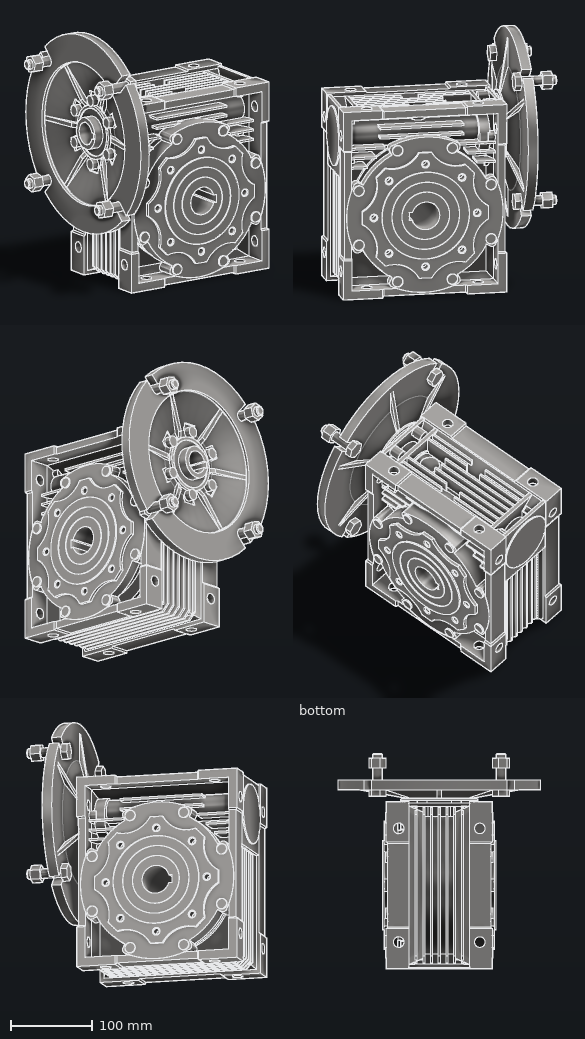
import cadquery as cq
import math


CENTER_DISTANCE = 90.0
WORM_Z = CENTER_DISTANCE
HALF_LENGTH = 103.0
BOTTOM_Z = -HALF_LENGTH
TOP_Z = 135.0
FRAME_INNER_X = 37.5
FOOT_OUTER_X = 65.5
RAIL_RECESS = 2.0
RAIL_OUTER_X = FOOT_OUTER_X - RAIL_RECESS
FOOT_LENGTH = 51.5
FRAME_WALL = 11.0
MOUNT_HOLE_D = 13.0
MOUNT_HOLE_X = 50.0
MOUNT_HOLE_EDGE = 33.0

WEB_INNER_X = 18.5
WEB_FLOOR_X = 20.5
WEB_EDGE = 5.0
HULL_TAPER = 8.5
HULL_TOP_TAPER = 15.0
POCKET_TAPER = 6.0
POCKET_TOP_TAPER = 11.0

DRUM_D = 170.0
DRUM_HALF_WIDTH = 26.0
WHEEL_HOUSING_D = 136.0
WORM_TUBE_D = 45.0
FRONT_BEARING_D = 50.0
FRONT_BEARING_Y = -73.0
END_WALL_OUTER_Y = 101.4
END_WALL_INNER_Y = 97.2
END_WALL_BOTTOM_Z = 45.0
CROSS_PLATE_Y = 77.5
CROSS_PLATE_THICKNESS = 5.0
FRONT_SCREW_D = 13.4
FRONT_SCREW_COUNT = 6
FRONT_SCREW_R = 41.0
FRONT_SCREW_END_Y = -83.5
REAR_SCREW_D = 11.0
REAR_SCREW_COUNT = 4
REAR_SCREW_R = 35.0
REAR_SCREW_END_Y = 81.5
REAR_CAP_D = 74.0
SIDE_RIDGE_D = 32.5
SIDE_RIDGE_Z = 96.25

FIN_THICKNESS = 2.5
FIN_PITCH = 9.5
FINS_PER_SIDE = 3
TOP_FIN_Z = TOP_Z - WEB_EDGE
TOP_FIN_GAP = 11.0
INNER_FIN_END_Y = -37.8
MIDDLE_FIN_END_Y = -35.8
BELLY_FIN_Z = -99.4
BELLY_FIN_HALF_LENGTH = 96.0
BELLY_FIN_CHAMFER = 9.0
SIDE_FIN_X = 47.5
LONG_FIN_HALF_LENGTH = 52.5
LONG_FIN_ZS = (107.7, 95.7)
SHORT_FIN_ROWS = 3
SHORT_FIN_PITCH = 12.0
SHORT_FIN_TOP_Z = 83.3
SHORT_FIN_END_Y = 46.5
SHORT_FIN_STEP_Y = 11.3

PLUG_D = 24.0
FLAT_PLUG_Y = -55.3
ROUND_PLUG_X = -15.0
ROUND_PLUG_Z = 104.0

COVER_D = 176.0
COVER_LOBE_COUNT = 4
COVER_LOBE_D = 197.0
COVER_LOBE_HALF_ANGLE = 28.0
COVER_LOBE_FILLET = 5.0
COVER_OUTER_X = 64.0
LEFT_COVER_INNER_X = 51.0
RIGHT_COVER_INNER_X = 41.0
COVER_SCREW_D = 13.0
COVER_SCREW_R = 90.0
COVER_SCREW_X = 66.0
COVER_POINTS = 8
STAR_X = 68.0
STAR_FLAT_R = 79.4
STAR_FLAT_HALF_WIDTH = 8.0
STAR_VALLEY_R = 68.5
TAP_R = 65.0
TAP_D = 7.45
TAP_MOUTH_D = 9.7
TAP_DEPTH = 15.0
OUTPUT_X = 70.0
RING_D = 110.0
SEAL_OUTER_D = 85.0
SEAL_INNER_D = 60.0
SEAL_DEPTH = 1.0
OUTPUT_BORE_D = 35.0
OUTPUT_KEY_WIDTH = 10.0
OUTPUT_KEY_REACH = 20.8

FLANGE_D = 250.0
FLANGE_BACK_Y = -117.5
FLANGE_FRONT_Y = -130.0
PILOT_D = 180.0
PILOT_DEPTH = 4.0
CONE_MOUTH_D = 177.87
CONE_FLOOR_D = 85.0
CONE_FLOOR_Y = -112.0
CONE_BACK_D = 156.0
CONE_BACK_Y = -107.3
HUB_DISC_D = 95.0
HUB_DISC_BACK_Y = -104.5
HUB_DISC_FRONT_Y = -106.5
COLLAR_D = 68.0
COLLAR_Y = -116.0
COLLAR_RECESS_D = 60.0
COLLAR_RECESS_Y = -114.5
INPUT_HUB_D = 40.0
INPUT_HUB_Y = -126.5
INPUT_BORE_D = 28.0
INPUT_BORE_DEPTH = 60.0
INPUT_KEY_WIDTH = 8.0
INPUT_KEY_REACH = 17.2
RIB_COUNT = 6
RIB_WIDTH = 5.5
RIB_ROOT_Y = -118.0
RIB_END_HEIGHT = 1.0
BACK_RIB_R = 113.0
BACK_RIB_WIDTH = 5.0
FLANGE_SCREW_R = 40.5
FLANGE_SCREW_HEIGHT = 8.0
SCREW_POCKET_WIDTH = 17.4
SCREW_POCKET_R = 51.2

BOLT_COUNT = 4
BOLT_CIRCLE_R = 107.5
BOLT_START_ANGLE = 45.0
SLOT_WIDTH = 13.0
BOLT_D = 12.0
BOLT_END_Y = -162.5
BOLT_CHAMFER = 1.2
HEX_CORNER_D = 22.0
HEAD_HEIGHT = 8.0
NUT_BACK_Y = -144.3
NUT_HEIGHT = 12.5


def box(x0, x1, y0, y1, z0, z1):
    return cq.Workplane("XY").box(x1 - x0, y1 - y0, z1 - z0, centered=False).translate((x0, y0, z0))


def x_cylinder(diameter, x0, x1, y=0.0, z=0.0):
    return cq.Workplane("YZ", origin=(x0, y, z)).circle(diameter / 2).extrude(x1 - x0)


def y_cylinder(diameter, y_front, y_back, x=0.0, z=WORM_Z):
    """Cylinder along Y; the XZ workplane extrudes towards -Y."""
    return cq.Workplane("XZ", origin=(x, y_back, z)).circle(diameter / 2).extrude(y_back - y_front)


def on_circle(radius, angle):
    return radius * math.cos(math.radians(angle)), radius * math.sin(math.radians(angle))


def both_sides(shape):
    return shape.union(shape.mirror("YZ"))


def about_worm(shape, angle):
    return shape.rotate((0, 0, WORM_Z), (0, -1, WORM_Z), angle)


def frustum(x0, half_length0, bottom0, top0, x1, half_length1, bottom1, top1):
    """Rectangular tapered block between two planes of constant X."""
    shape = cq.Workplane("YZ", origin=(x0, 0, (bottom0 + top0) / 2)).rect(2 * half_length0, top0 - bottom0)
    shape = shape.workplane(offset=x1 - x0).center(0, (bottom1 + top1 - bottom0 - top0) / 2)
    return shape.rect(2 * half_length1, top1 - bottom1).loft(ruled=True)


def foot(rear, upper):
    """Corner block whose two inner ends slope down to the recessed rails."""
    y0 = HALF_LENGTH - FOOT_LENGTH
    z0 = TOP_Z - FOOT_LENGTH
    block = box(FRAME_INNER_X, FOOT_OUTER_X, y0, HALF_LENGTH, z0, TOP_Z)
    block = block.faces("<Y").edges(">Z or >X").chamfer(RAIL_RECESS)
    block = block.faces("<Z").edges(">Y or >X").chamfer(RAIL_RECESS)
    if not upper:
        block = block.mirror("XY").translate((0, 0, TOP_Z + BOTTOM_Z))
    if not rear:
        block = block.mirror("XZ")
    return block


def side_frame():
    rail_y = HALF_LENGTH - RAIL_RECESS
    frame = box(FRAME_INNER_X, RAIL_OUTER_X, -rail_y, rail_y, BOTTOM_Z + RAIL_RECESS, TOP_Z - RAIL_RECESS)
    for rear in (False, True):
        for upper in (False, True):
            frame = frame.union(foot(rear, upper))
    hull_y = HALF_LENGTH - WEB_EDGE
    hull = frustum(
        FRAME_INNER_X, hull_y, -hull_y, TOP_Z - WEB_EDGE,
        WEB_INNER_X, hull_y - HULL_TAPER, HULL_TAPER - hull_y, TOP_Z - WEB_EDGE - HULL_TOP_TAPER,
    )
    return frame.union(hull)


def side_pocket():
    pocket_y = HALF_LENGTH - FRAME_WALL
    pocket_top = TOP_Z - FRAME_WALL
    opening = box(FRAME_INNER_X, FOOT_OUTER_X, -pocket_y, pocket_y, -pocket_y, pocket_top)
    tapered = frustum(
        FRAME_INNER_X, pocket_y, -pocket_y, pocket_top,
        WEB_FLOOR_X, pocket_y - POCKET_TAPER, POCKET_TAPER - pocket_y, pocket_top - POCKET_TOP_TAPER,
    )
    return opening.union(tapered)


def top_fin(x, y0, y1):
    return box(x - FIN_THICKNESS / 2, x + FIN_THICKNESS / 2, y0, y1, WORM_Z, TOP_FIN_Z)


def top_fins():
    fins = top_fin(0, MIDDLE_FIN_END_Y, CROSS_PLATE_Y)
    for side in (-1, 1):
        fins = fins.union(top_fin(side * FIN_PITCH, INNER_FIN_END_Y, CROSS_PLATE_Y))
        for step in range(2, FINS_PER_SIDE + 1):
            x = side * step * FIN_PITCH
            fins = fins.union(top_fin(x, TOP_FIN_GAP, CROSS_PLATE_Y))
            fins = fins.union(top_fin(x, -CROSS_PLATE_Y, -TOP_FIN_GAP))
    return fins


def belly_fins():
    fins = cq.Workplane("XY")
    for step in range(-FINS_PER_SIDE, FINS_PER_SIDE + 1):
        x = step * FIN_PITCH
        fin = box(
            x - FIN_THICKNESS / 2, x + FIN_THICKNESS / 2,
            -BELLY_FIN_HALF_LENGTH, BELLY_FIN_HALF_LENGTH, BELLY_FIN_Z, END_WALL_BOTTOM_Z,
        )
        fins = fins.add(fin.faces("<Z").edges("|X").chamfer(BELLY_FIN_CHAMFER))
    return fins.combine()


def cross_walls():
    walls = cq.Workplane("XY")
    half_plate = CROSS_PLATE_THICKNESS / 2
    for y0, y1, z0, z1 in (
        (END_WALL_INNER_Y, END_WALL_OUTER_Y, END_WALL_BOTTOM_Z, TOP_Z - RAIL_RECESS),
        (CROSS_PLATE_Y - half_plate, CROSS_PLATE_Y + half_plate, WORM_Z, TOP_FIN_Z),
    ):
        wall = box(-FRAME_INNER_X, FRAME_INNER_X, y0, y1, z0, z1)
        walls = walls.add(wall).add(wall.mirror("XZ"))
    return walls.combine()


def side_fin(y0, y1, z):
    return box(WEB_INNER_X, SIDE_FIN_X, y0, y1, z - FIN_THICKNESS / 2, z + FIN_THICKNESS / 2)


def side_fins():
    fins = cq.Workplane("XY")
    for z in LONG_FIN_ZS:
        fins = fins.add(side_fin(-LONG_FIN_HALF_LENGTH, LONG_FIN_HALF_LENGTH, z))
    for row in range(SHORT_FIN_ROWS):
        start = SHORT_FIN_END_Y + row * SHORT_FIN_STEP_Y
        fin = side_fin(start, HALF_LENGTH - FRAME_WALL, SHORT_FIN_TOP_Z - row * SHORT_FIN_PITCH)
        fins = fins.add(fin).add(fin.mirror("XZ"))
    return fins.combine()


def worm_housing(pockets):
    """Worm tube with its bulges into the side pockets, bearing seat, screw bosses, rear cap and plugs."""
    tube = y_cylinder(WORM_TUBE_D, -END_WALL_INNER_Y, END_WALL_INNER_Y)
    tube = tube.union(y_cylinder(FRONT_BEARING_D, -END_WALL_INNER_Y, FRONT_BEARING_Y))
    ridge_y = HALF_LENGTH - FRAME_WALL - POCKET_TAPER
    for x in (-WEB_FLOOR_X, WEB_FLOOR_X):
        tube = tube.union(y_cylinder(SIDE_RIDGE_D, -ridge_y, ridge_y, x, SIDE_RIDGE_Z).intersect(pockets))
        tube = tube.union(y_cylinder(FRONT_BEARING_D, -ridge_y, FRONT_BEARING_Y, x).intersect(pockets))
    tube = tube.union(y_cylinder(REAR_CAP_D, END_WALL_INNER_Y, HALF_LENGTH))
    for index in range(FRONT_SCREW_COUNT):
        x, z = on_circle(FRONT_SCREW_R, index * 360 / FRONT_SCREW_COUNT)
        tube = tube.union(y_cylinder(FRONT_SCREW_D, HUB_DISC_BACK_Y, FRONT_SCREW_END_Y, x, WORM_Z + z))
    for index in range(REAR_SCREW_COUNT):
        x, z = on_circle(REAR_SCREW_R, (index + 0.5) * 360 / REAR_SCREW_COUNT)
        tube = tube.union(y_cylinder(REAR_SCREW_D, REAR_SCREW_END_Y, END_WALL_OUTER_Y, x, WORM_Z + z))
    tube_top = WORM_Z + WORM_TUBE_D / 2
    flat_plug = cq.Workplane("XY", origin=(0, FLAT_PLUG_Y, WORM_Z)).circle(PLUG_D / 2)
    flat_plug = flat_plug.extrude(tube_top - WORM_Z)
    round_plug = x_cylinder(PLUG_D, ROUND_PLUG_X - PLUG_D, ROUND_PLUG_X + PLUG_D, z=ROUND_PLUG_Z)
    upright = cq.Workplane("XY", origin=(ROUND_PLUG_X, 0, WORM_Z)).circle(PLUG_D / 2).extrude(2 * PLUG_D)
    return tube.union(flat_plug).union(round_plug.intersect(upright))


def cover_plate(inner_x):
    """Round cover plate with four wider lobes, each lobe carrying two screws."""
    thickness = COVER_OUTER_X - inner_x
    plate = x_cylinder(COVER_D, inner_x, COVER_OUTER_X)
    radius = COVER_LOBE_D / 2
    for index in range(COVER_LOBE_COUNT):
        middle = index * 360 / COVER_LOBE_COUNT
        lobe = (
            cq.Workplane("YZ", origin=(inner_x, 0, 0))
            .lineTo(*on_circle(radius, middle - COVER_LOBE_HALF_ANGLE))
            .threePointArc(on_circle(radius, middle), on_circle(radius, middle + COVER_LOBE_HALF_ANGLE))
            .close()
            .extrude(thickness)
        )
        for end in (middle - COVER_LOBE_HALF_ANGLE, middle + COVER_LOBE_HALF_ANGLE):
            corner = cq.NearestToPointSelector((inner_x + thickness / 2, *on_circle(radius, end)))
            lobe = lobe.edges("|X").edges(corner).fillet(COVER_LOBE_FILLET)
        plate = plate.union(lobe)
    return plate


def star_plate():
    """Eight flat-tipped points joined by concave arcs."""
    tip_radius = math.hypot(STAR_FLAT_R, STAR_FLAT_HALF_WIDTH)
    tip_angle = math.degrees(math.atan2(STAR_FLAT_HALF_WIDTH, STAR_FLAT_R))
    pitch = 360 / COVER_POINTS
    outline = cq.Workplane("YZ", origin=(COVER_OUTER_X, 0, 0)).moveTo(*on_circle(tip_radius, -tip_angle))
    for index in range(COVER_POINTS):
        angle = index * pitch
        outline = outline.lineTo(*on_circle(tip_radius, angle + tip_angle))
        outline = outline.threePointArc(
            on_circle(STAR_VALLEY_R, angle + pitch / 2),
            on_circle(tip_radius, angle + pitch - tip_angle),
        )
    return outline.close().extrude(STAR_X - COVER_OUTER_X)


def tapped_hole():
    mouth = (TAP_MOUTH_D - TAP_D) / 2
    return (
        cq.Workplane("XY")
        .polyline([
            (STAR_X - TAP_DEPTH, 0), (STAR_X - TAP_DEPTH, TAP_D / 2), (STAR_X - mouth, TAP_D / 2),
            (STAR_X, TAP_MOUTH_D / 2), (STAR_X, 0),
        ])
        .close()
        .revolve(360, (0, 0, 0), (1, 0, 0))
    )


def output_cover(inner_x):
    pitch = 360 / COVER_POINTS
    cover = cover_plate(inner_x).union(star_plate())
    cover = cover.union(x_cylinder(WHEEL_HOUSING_D, WEB_INNER_X, COVER_OUTER_X))
    cover = cover.union(x_cylinder(RING_D, COVER_OUTER_X, OUTPUT_X))
    seal = x_cylinder(SEAL_OUTER_D, OUTPUT_X - SEAL_DEPTH, OUTPUT_X)
    cover = cover.cut(seal.cut(x_cylinder(SEAL_INNER_D, OUTPUT_X - SEAL_DEPTH, OUTPUT_X)))
    screws = cq.Workplane("XY")
    holes = cq.Workplane("XY")
    for index in range(COVER_POINTS):
        y, z = on_circle(COVER_SCREW_R, (index + 0.5) * pitch)
        screws = screws.add(x_cylinder(COVER_SCREW_D, inner_x, COVER_SCREW_X, y, z))
        holes = holes.add(tapped_hole().translate((0, *on_circle(TAP_R, index * pitch))))
    return cover.union(screws.combine()).cut(holes.combine())


def radial_plate(width, points):
    """Plate of the given width in the radius/Y plane, standing along +X from the worm axis."""
    return cq.Workplane("XY", origin=(0, 0, WORM_Z - width / 2)).polyline(points).close().extrude(width)


def motor_flange():
    profile = [
        (0, HUB_DISC_BACK_Y), (HUB_DISC_D / 2, HUB_DISC_BACK_Y), (HUB_DISC_D / 2, HUB_DISC_FRONT_Y),
        (CONE_FLOOR_D / 2, CONE_BACK_Y), (CONE_BACK_D / 2, FLANGE_BACK_Y),
        (FLANGE_D / 2, FLANGE_BACK_Y), (FLANGE_D / 2, FLANGE_FRONT_Y),
        (PILOT_D / 2, FLANGE_FRONT_Y), (PILOT_D / 2, FLANGE_FRONT_Y + PILOT_DEPTH),
        (CONE_MOUTH_D / 2, FLANGE_FRONT_Y + PILOT_DEPTH), (CONE_FLOOR_D / 2, CONE_FLOOR_Y),
        (COLLAR_D / 2, CONE_FLOOR_Y), (COLLAR_D / 2, COLLAR_Y),
        (COLLAR_RECESS_D / 2, COLLAR_Y), (COLLAR_RECESS_D / 2, COLLAR_RECESS_Y),
        (INPUT_HUB_D / 2, COLLAR_RECESS_Y), (INPUT_HUB_D / 2, INPUT_HUB_Y), (0, INPUT_HUB_Y),
    ]
    flange = cq.Workplane("XY").polyline(profile).close().revolve(360, (0, 0, 0), (0, 1, 0))
    flange = flange.translate((0, 0, WORM_Z))
    flange = flange.union(y_cylinder(CONE_FLOOR_D, HUB_DISC_BACK_Y, -END_WALL_OUTER_Y))

    cone_mouth_y = FLANGE_FRONT_Y + PILOT_DEPTH
    front_rib = radial_plate(RIB_WIDTH, [
        (COLLAR_D / 2, CONE_FLOOR_Y), (COLLAR_D / 2, CONE_FLOOR_Y - RIB_END_HEIGHT),
        (CONE_FLOOR_D / 2, RIB_ROOT_Y), (CONE_MOUTH_D / 2, cone_mouth_y),
        (CONE_MOUTH_D / 2, cone_mouth_y + RIB_END_HEIGHT), (CONE_FLOOR_D / 2, CONE_FLOOR_Y),
    ])
    back_rib = radial_plate(BACK_RIB_WIDTH, [
        (CONE_FLOOR_D / 2, CONE_BACK_Y), (HUB_DISC_D / 2, CONE_BACK_Y), (BACK_RIB_R, FLANGE_BACK_Y),
        (CONE_BACK_D / 2, FLANGE_BACK_Y),
    ])
    pocket = box(
        COLLAR_D / 2, SCREW_POCKET_R, FLANGE_FRONT_Y, CONE_FLOOR_Y,
        WORM_Z - SCREW_POCKET_WIDTH / 2, WORM_Z + SCREW_POCKET_WIDTH / 2,
    )
    screw = y_cylinder(FRONT_SCREW_D, CONE_FLOOR_Y - FLANGE_SCREW_HEIGHT, CONE_FLOOR_Y, FLANGE_SCREW_R)
    pitch = 360 / RIB_COUNT
    additions = cq.Workplane("XY")
    cutouts = cq.Workplane("XY")
    for index in range(RIB_COUNT):
        additions = additions.add(about_worm(front_rib, index * pitch))
        additions = additions.add(about_worm(screw, (index + 0.5) * pitch))
        flange = flange.union(about_worm(back_rib, (index + 0.5) * pitch))
        cutouts = cutouts.add(about_worm(pocket, (index + 0.5) * pitch))
    flange = flange.cut(cutouts.combine()).union(additions.combine())

    slot = box(
        BOLT_CIRCLE_R, FLANGE_D, FLANGE_FRONT_Y, FLANGE_BACK_Y,
        WORM_Z - SLOT_WIDTH / 2, WORM_Z + SLOT_WIDTH / 2,
    )
    slot = slot.union(y_cylinder(SLOT_WIDTH, FLANGE_FRONT_Y, FLANGE_BACK_Y, BOLT_CIRCLE_R))
    slots = cq.Workplane("XY")
    for index in range(BOLT_COUNT):
        slots = slots.add(about_worm(slot, BOLT_START_ANGLE + index * 360 / BOLT_COUNT))
    return flange.cut(slots.combine())


def mounting_holes():
    """Holes through all four walls of a side frame near its corners."""
    offset = HALF_LENGTH - MOUNT_HOLE_EDGE
    holes = cq.Workplane("XY")
    for y in (-offset, offset):
        for z in (BOTTOM_Z, TOP_Z - FRAME_WALL):
            start = cq.Workplane("XY", origin=(MOUNT_HOLE_X, y, z))
            holes = holes.add(start.circle(MOUNT_HOLE_D / 2).extrude(FRAME_WALL))
    for z in (-offset, TOP_Z - MOUNT_HOLE_EDGE):
        for y_front in (-HALF_LENGTH, HALF_LENGTH - FRAME_WALL):
            holes = holes.add(y_cylinder(MOUNT_HOLE_D, y_front, y_front + FRAME_WALL, MOUNT_HOLE_X, z))
    return holes.combine()


def keyed_output_bore():
    bore = x_cylinder(OUTPUT_BORE_D, -OUTPUT_X, OUTPUT_X)
    return bore.union(
        box(-OUTPUT_X, OUTPUT_X, 0, OUTPUT_KEY_REACH, -OUTPUT_KEY_WIDTH / 2, OUTPUT_KEY_WIDTH / 2)
    )


def keyed_input_bore():
    bore_end = INPUT_HUB_Y + INPUT_BORE_DEPTH
    bore = y_cylinder(INPUT_BORE_D, INPUT_HUB_Y, bore_end)
    return bore.union(box(
        0, INPUT_KEY_REACH, INPUT_HUB_Y, bore_end, WORM_Z - INPUT_KEY_WIDTH / 2, WORM_Z + INPUT_KEY_WIDTH / 2
    ))


def make_reducer():
    body = both_sides(side_frame())
    body = body.union(cross_walls()).union(top_fins()).union(belly_fins())
    pockets = both_sides(side_pocket())
    body = body.cut(pockets).cut(both_sides(mounting_holes()))
    drum = x_cylinder(DRUM_D, -DRUM_HALF_WIDTH, DRUM_HALF_WIDTH)
    left_cover = output_cover(LEFT_COVER_INNER_X).mirror("YZ")
    right_cover = output_cover(RIGHT_COVER_INNER_X)
    fins = both_sides(side_fins())
    for part in (drum, worm_housing(pockets), fins, left_cover, right_cover, motor_flange()):
        body = body.add(part)
    return body.combine().cut(keyed_output_bore().add(keyed_input_bore()).combine()).solids()


def hexagon(y_back, height):
    """Hexagonal prism on the first bolt axis with one corner pointing radially outward."""
    return cq.Workplane("XZ", origin=(BOLT_CIRCLE_R, y_back, WORM_Z)).polygon(6, HEX_CORNER_D).extrude(height)


def make_bolt(angle):
    shank = y_cylinder(BOLT_D, BOLT_END_Y, FLANGE_BACK_Y, BOLT_CIRCLE_R).faces("<Y").chamfer(BOLT_CHAMFER)
    return about_worm(shank.union(hexagon(FLANGE_BACK_Y + HEAD_HEIGHT, HEAD_HEIGHT)), angle)


def make_nut(angle):
    hole = y_cylinder(BOLT_D, NUT_BACK_Y - NUT_HEIGHT, NUT_BACK_Y, BOLT_CIRCLE_R)
    return about_worm(hexagon(NUT_BACK_Y, NUT_HEIGHT).cut(hole), angle)


bolt_angles = [BOLT_START_ANGLE + index * 360 / BOLT_COUNT for index in range(BOLT_COUNT)]
reducer = make_reducer()
bolts = [make_bolt(angle) for angle in bolt_angles]
nuts = [make_nut(angle) for angle in bolt_angles]

result = cq.Compound.makeCompound(
    [reducer.val()] + [bolt.val() for bolt in bolts] + [nut.val() for nut in nuts]
)